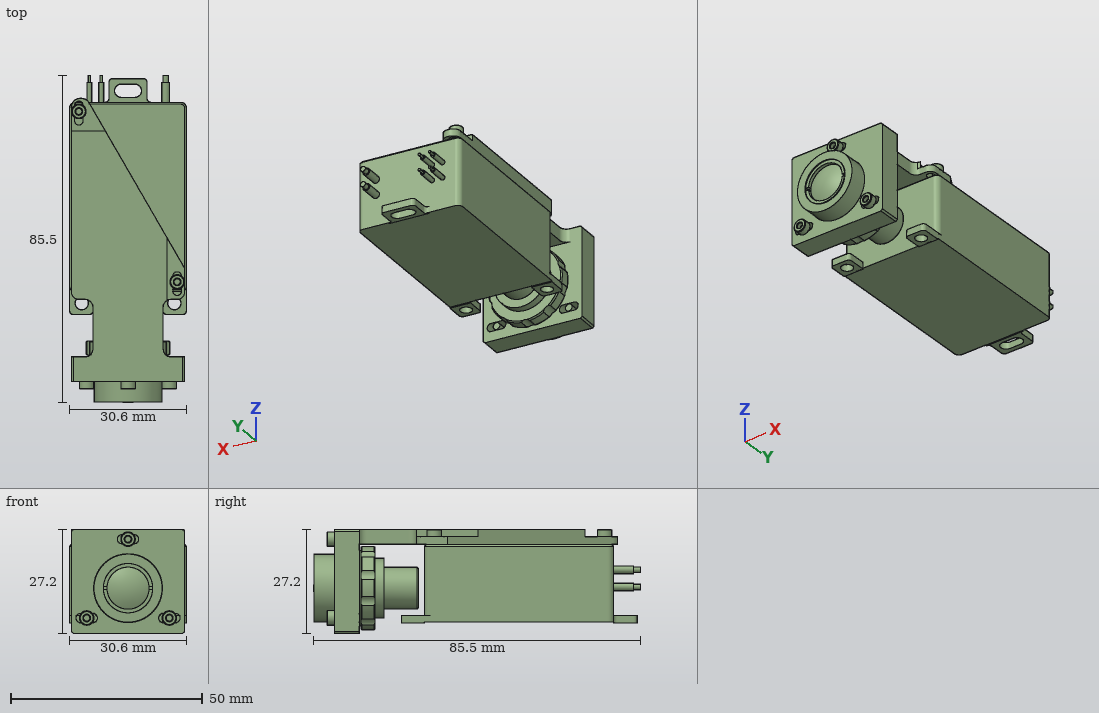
import cadquery as cq
import math


HOUSING_WIDTH = 30.6
HOUSING_FRONT_Y = 23.5
HOUSING_BACK_Y = 73.0
HOUSING_BOTTOM_Z = -8.85
HOUSING_CORNER_RADIUS = 1.5
HOUSING_TOP_CHAMFER = 0.5

FOOT_BOTTOM_Z = -9.15
FOOT_TOP_Z = -7.1
FOOT_FRONT_Y = 17.5
FOOT_WIDTH = 6.2
FOOT_HOLE_DIAMETER = 3.4
FOOT_HOLE_X = 12.1
FOOT_CORNER_RADIUS = 1.0
TAB_WIDTH = 10.0
TAB_BACK_Y = 79.2
TAB_CORNER_RADIUS = 1.0
TAB_SLOT_LENGTH = 7.0
TAB_SLOT_WIDTH = 3.4
TAB_SLOT_Y = 76.0

WIRE_END_Y = 80.0
STRIPPED_LENGTH = 1.8
WIRE_ROOT_DEPTH = 1.0
THIN_WIRE_DIAMETER = 1.35
THIN_CORE_DIAMETER = 0.7
THICK_WIRE_DIAMETER = 2.08
THICK_CORE_DIAMETER = 1.48
THIN_WIRE_XS = (-10.1, -7.0)
THICK_WIRE_X = 9.85
WIRE_ROW_ZS = (0.3, 4.8)

BRACKET_WIDTH = 29.6
BRACKET_TOP_Z = 15.35
TOP_PLATE_THICKNESS = 3.9
TOP_PLATE_BOTTOM_Z = BRACKET_TOP_Z - TOP_PLATE_THICKNESS
FACE_PLATE_THICKNESS = 6.5
FACE_PLATE_HEIGHT = 27.2
FACE_PLATE_CHAMFER = 0.5
NECK_WIDTH = 18.4
NECK_RADIUS = 2.0
WING_FRONT_Y = 21.45
WING_RADIUS = 2.0
BRACKET_BACK_Y = 74.05
BRACKET_TIP_RADIUS = 2.3
DIAGONAL_ANGLE = 60.0
DIAGONAL_END_Y = 29.6
SEAT_DEPTH = 1.85
SEAT_Z = BRACKET_TOP_Z - SEAT_DEPTH
REAR_SEAT_Y = 65.5
SIDE_SEAT_X = 10.2

SCREW_HEAD_DIAMETER = 3.8
SCREW_SHANK_DIAMETER = 2.0
SCREW_EDGE_CHAMFER = 0.2
FACE_HEAD_HEIGHT = 2.0
SOCKET_DIAMETER = 1.62
SOCKET_RIM_DIAMETER = 2.0
SOCKET_DEPTH = 1.4
TOP_SLOT_LENGTH = 6.2
TOP_SLOT_WIDTH = 2.2
TOP_SCREW_X = 12.85
TOP_SCREW_OFFSET = 0.45
TOP_SLOTS = ((-TOP_SCREW_X, 70.15), (TOP_SCREW_X, 25.6))
FACE_SLOT_LENGTH = 5.6
FACE_SLOT_WIDTH = 2.4
FACE_SCREWS = ((0.0, 12.8), (-10.8, -7.8), (10.8, -7.8))

BARREL_DIAMETER = 11.0
BARREL_BACK_Y = 22.0
BARREL_CHAMFER = 0.4
COLLAR_DIAMETER = 15.7
COLLAR_BACK_Y = 13.0
NUT_DIAMETER = 22.0
NUT_BACK_Y = 10.65
NUT_FRONT_Y = 6.9
NUT_CHAMFER = 0.35
NUT_SCALLOPS = 10
SCALLOP_DIAMETER = 4.0
SCALLOP_DEPTH = 0.5
HUB_DIAMETER = 19.8
FLANGE_DIAMETER = 17.8
FLANGE_BORE_DIAMETER = 18.0
FLANGE_FRONT_Y = -5.4
RETAINER_DIAMETER = 12.9
RETAINER_RECESS = 0.3
LENS_DIAMETER = 11.0
LENS_EDGE_Y = -4.1
LENS_APEX_Y = -5.5
NOTCH_WIDTH = 0.8


def block(x_min, x_max, y_min, y_max, z_min, z_max):
    size = (x_max - x_min, y_max - y_min, z_max - z_min)
    return cq.Workplane("XY").box(*size, centered=False).translate((x_min, y_min, z_min))


def rod(diameter, y_start, y_end, x=0.0, z=0.0):
    """Cylinder parallel to Y."""
    return cq.Workplane("XZ", origin=(x, y_start, z)).circle(diameter / 2).extrude(y_start - y_end)


def make_housing():
    half = HOUSING_WIDTH / 2
    body = block(-half, half, HOUSING_FRONT_Y, HOUSING_BACK_Y, HOUSING_BOTTOM_Z, TOP_PLATE_BOTTOM_Z)
    body = body.edges("|Z").fillet(HOUSING_CORNER_RADIUS)
    body = body.faces(">Z").edges().chamfer(HOUSING_TOP_CHAMFER)
    return body.union(make_foot(-1)).union(make_foot(1)).union(make_tab())


def make_foot(side):
    """Front foot with a screw hole; its root squares off the rounded housing corner."""
    outer = HOUSING_WIDTH / 2
    inner = outer - FOOT_WIDTH
    root_y = HOUSING_FRONT_Y + HOUSING_CORNER_RADIUS
    foot = block(inner, outer, FOOT_FRONT_Y, root_y, FOOT_BOTTOM_Z, FOOT_TOP_Z)
    foot = foot.faces("<Y").edges("|Z").fillet(FOOT_CORNER_RADIUS)
    foot = foot.cut(block(inner, outer, HOUSING_FRONT_Y, root_y, FOOT_BOTTOM_Z, HOUSING_BOTTOM_Z))
    hole_y = (FOOT_FRONT_Y + HOUSING_FRONT_Y) / 2
    hole = cq.Workplane("XY", origin=(FOOT_HOLE_X, hole_y, FOOT_BOTTOM_Z))
    foot = foot.cut(hole.circle(FOOT_HOLE_DIAMETER / 2).extrude(FOOT_TOP_Z - FOOT_BOTTOM_Z))
    return foot if side > 0 else foot.mirror("YZ")


def make_tab():
    """Rear tab with a cross slot, rounded at its free corners and at its root."""
    half = TAB_WIDTH / 2
    r = TAB_CORNER_RADIUS
    root_y = HOUSING_BACK_Y
    bend = r * (1 - math.sqrt(0.5))
    tab = (
        cq.Workplane("XY", origin=(0, 0, FOOT_BOTTOM_Z))
        .moveTo(-half - r, root_y)
        .threePointArc((-half - bend, root_y + bend), (-half, root_y + r))
        .lineTo(-half, TAB_BACK_Y - r)
        .threePointArc((-half + bend, TAB_BACK_Y - bend), (-half + r, TAB_BACK_Y))
        .lineTo(half - r, TAB_BACK_Y)
        .threePointArc((half - bend, TAB_BACK_Y - bend), (half, TAB_BACK_Y - r))
        .lineTo(half, root_y + r)
        .threePointArc((half + bend, root_y + bend), (half + r, root_y))
        .close()
        .extrude(FOOT_TOP_Z - FOOT_BOTTOM_Z)
    )
    slot = cq.Workplane("XY", origin=(0, TAB_SLOT_Y, FOOT_BOTTOM_Z))
    return tab.cut(slot.slot2D(TAB_SLOT_LENGTH, TAB_SLOT_WIDTH).extrude(FOOT_TOP_Z - FOOT_BOTTOM_Z))


def make_wire(diameter, core_diameter, x, z):
    root_y = HOUSING_BACK_Y - WIRE_ROOT_DEPTH
    sleeve = rod(diameter, root_y, WIRE_END_Y - STRIPPED_LENGTH, x, z)
    return sleeve.union(rod(core_diameter, root_y, WIRE_END_Y, x, z))


def make_top_plate():
    """Wing plate with a slanting back edge and a narrow neck toward the front."""
    half = BRACKET_WIDTH / 2
    neck = NECK_WIDTH / 2
    back_length = BRACKET_BACK_Y - DIAGONAL_END_Y
    tip_x = half - back_length / math.tan(math.radians(DIAGONAL_ANGLE))
    plate = (
        cq.Workplane("XY", origin=(0, 0, TOP_PLATE_BOTTOM_Z))
        .polyline([
            (-half, 0),
            (half, 0),
            (half, FACE_PLATE_THICKNESS),
            (neck, FACE_PLATE_THICKNESS),
            (neck, WING_FRONT_Y),
            (half, WING_FRONT_Y),
            (half, DIAGONAL_END_Y),
            (tip_x, BRACKET_BACK_Y),
            (-half, BRACKET_BACK_Y),
            (-half, WING_FRONT_Y),
            (-neck, WING_FRONT_Y),
            (-neck, FACE_PLATE_THICKNESS),
            (-half, FACE_PLATE_THICKNESS),
        ])
        .close()
        .extrude(TOP_PLATE_THICKNESS)
    )

    def upright_edges(x_min, x_max, y):
        reach = 0.1
        low = (x_min - reach, y - reach, TOP_PLATE_BOTTOM_Z - reach)
        high = (x_max + reach, y + reach, BRACKET_TOP_Z + reach)
        return plate.edges("|Z").edges(cq.selectors.BoxSelector(low, high))

    plate = upright_edges(-half, tip_x, BRACKET_BACK_Y).fillet(BRACKET_TIP_RADIUS)
    for y in (FACE_PLATE_THICKNESS, WING_FRONT_Y):
        plate = upright_edges(-neck, neck, y).fillet(NECK_RADIUS)
    for x in (-half, half):
        plate = upright_edges(x, x, WING_FRONT_Y).fillet(WING_RADIUS)
    rear_seat = block(-half, half, REAR_SEAT_Y, BRACKET_BACK_Y, SEAT_Z, BRACKET_TOP_Z)
    side_seat = block(SIDE_SEAT_X, half, WING_FRONT_Y, REAR_SEAT_Y, SEAT_Z, BRACKET_TOP_Z)
    plate = plate.cut(rear_seat).cut(side_seat)
    for x, y in TOP_SLOTS:
        slot = cq.Workplane("XY", origin=(x, y, TOP_PLATE_BOTTOM_Z))
        plate = plate.cut(slot.slot2D(TOP_SLOT_LENGTH, TOP_SLOT_WIDTH, 90).extrude(TOP_PLATE_THICKNESS))
    return plate


def make_bracket():
    half = BRACKET_WIDTH / 2
    bottom_z = BRACKET_TOP_Z - FACE_PLATE_HEIGHT
    face_plate = block(-half, half, 0, FACE_PLATE_THICKNESS, bottom_z, BRACKET_TOP_Z)
    bracket = make_top_plate().union(face_plate)
    plate_zone = cq.selectors.BoxSelector(
        (-BRACKET_WIDTH, 0, 2 * bottom_z),
        (BRACKET_WIDTH, FACE_PLATE_THICKNESS, 2 * BRACKET_TOP_Z),
    )
    bracket = bracket.edges("|Y").edges(plate_zone).chamfer(FACE_PLATE_CHAMFER)
    bracket = bracket.cut(rod(FLANGE_BORE_DIAMETER, 0, FACE_PLATE_THICKNESS))
    for x, z in FACE_SCREWS:
        slot = cq.Workplane("XZ", origin=(x, 0, z))
        bracket = bracket.cut(slot.slot2D(FACE_SLOT_LENGTH, FACE_SLOT_WIDTH).extrude(-FACE_PLATE_THICKNESS))
    return bracket


def make_screw(head_height, shank_length):
    """Socket screw standing on the XY plane, head up, with a flared socket."""
    head = cq.Workplane("XY").circle(SCREW_HEAD_DIAMETER / 2).extrude(head_height)
    head = head.faces(">Z").edges().chamfer(SCREW_EDGE_CHAMFER)
    shank = cq.Workplane("XY").circle(SCREW_SHANK_DIAMETER / 2).extrude(-shank_length)
    top = cq.Workplane("XY", origin=(0, 0, head_height))
    socket = top.circle(SOCKET_DIAMETER / 2).extrude(-SOCKET_DEPTH)
    flare_depth = (SOCKET_RIM_DIAMETER - SOCKET_DIAMETER) / 2
    rim = cq.Solid.makeCone(
        SOCKET_DIAMETER / 2,
        SOCKET_RIM_DIAMETER / 2,
        flare_depth,
        cq.Vector(0, 0, head_height - flare_depth),
    )
    return head.union(shank).cut(socket).cut(cq.Workplane(rim))


def make_lens_barrel():
    barrel = rod(BARREL_DIAMETER, FACE_PLATE_THICKNESS, BARREL_BACK_Y)
    barrel = barrel.faces(">Y").edges().chamfer(BARREL_CHAMFER)
    collar = rod(COLLAR_DIAMETER, FACE_PLATE_THICKNESS, COLLAR_BACK_Y)
    hub = rod(HUB_DIAMETER, FACE_PLATE_THICKNESS, NUT_FRONT_Y)
    return barrel.union(collar).union(hub).union(make_ring_nut()).union(make_lens_flange())


def make_ring_nut():
    """Grip ring with evenly spaced round scallops."""
    nut = rod(NUT_DIAMETER, NUT_FRONT_Y, NUT_BACK_Y).edges().chamfer(NUT_CHAMFER)
    scallop_radius = NUT_DIAMETER / 2 + SCALLOP_DIAMETER / 2 - SCALLOP_DEPTH
    pitch = 360.0 / NUT_SCALLOPS
    for i in range(NUT_SCALLOPS):
        angle = math.radians((i + 0.5) * pitch)
        x = scallop_radius * math.cos(angle)
        z = scallop_radius * math.sin(angle)
        nut = nut.cut(rod(SCALLOP_DIAMETER, NUT_FRONT_Y, NUT_BACK_Y, x, z))
    return nut


def make_lens_flange():
    """Front flange with a notched retaining ring around a domed lens."""
    flange = rod(FLANGE_DIAMETER, FACE_PLATE_THICKNESS, FLANGE_FRONT_Y)
    retainer_y = FLANGE_FRONT_Y + RETAINER_RECESS
    flange = flange.cut(rod(RETAINER_DIAMETER, FLANGE_FRONT_Y, retainer_y))
    flange = flange.cut(rod(LENS_DIAMETER, FLANGE_FRONT_Y, LENS_EDGE_Y))
    ring_half = RETAINER_DIAMETER / 2
    notch_half = NOTCH_WIDTH / 2
    flange = flange.cut(
        block(-ring_half, ring_half, retainer_y, LENS_EDGE_Y, -notch_half, notch_half)
    )
    sag = LENS_EDGE_Y - LENS_APEX_Y
    dome_radius = ((LENS_DIAMETER / 2) ** 2 + sag**2) / (2 * sag)
    dome = cq.Workplane("XY").sphere(dome_radius).translate((0, LENS_APEX_Y + dome_radius, 0))
    return flange.union(dome.intersect(rod(LENS_DIAMETER, LENS_APEX_Y, 0)))


result = make_housing().union(make_bracket()).union(make_lens_barrel())

for row_z in WIRE_ROW_ZS:
    for wire_x in THIN_WIRE_XS:
        result = result.union(make_wire(THIN_WIRE_DIAMETER, THIN_CORE_DIAMETER, wire_x, row_z))
    result = result.union(make_wire(THICK_WIRE_DIAMETER, THICK_CORE_DIAMETER, THICK_WIRE_X, row_z))

top_screw = make_screw(SEAT_DEPTH, SEAT_Z - TOP_PLATE_BOTTOM_Z)
for slot_x, slot_y in TOP_SLOTS:
    result = result.union(top_screw.translate((slot_x, slot_y + TOP_SCREW_OFFSET, SEAT_Z)))

face_screw = make_screw(FACE_HEAD_HEIGHT, FACE_PLATE_THICKNESS).rotate((0, 0, 0), (1, 0, 0), 90)
for screw_x, screw_z in FACE_SCREWS:
    result = result.union(face_screw.translate((screw_x, 0, screw_z)))